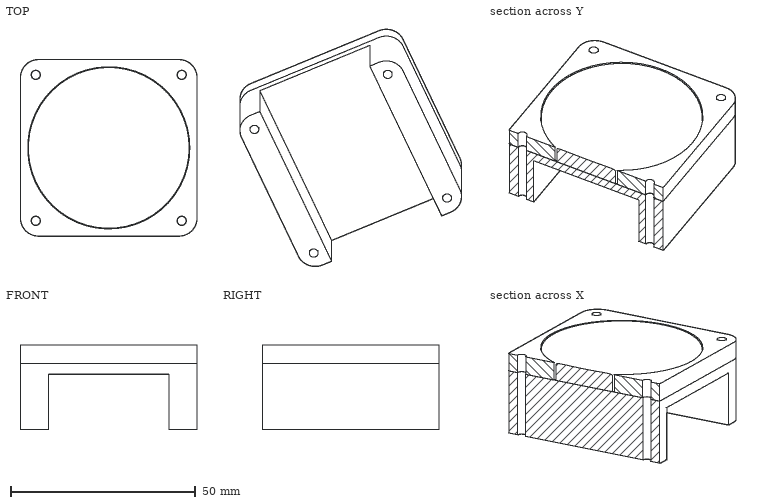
import cadquery as cq

side = 48.0
corner_radius = 5.0

leg_height = 15.0
plate_thickness = 3.0
bezel_thickness = 5.0
bezel_bottom = leg_height + plate_thickness
top = bezel_bottom + bezel_thickness

leg_width = 7.7

screw_pitch = 39.6
bezel_screw_diameter = 2.5
bracket_screw_diameter = 2.4

window_diameter = 44.0
disc_gap = 0.2
disc_diameter = window_diameter - 2 * disc_gap
disc_edge_radius = 0.5
dish_diameter = 41.3
dish_depth = 1.15


def rounded_block(bottom, height):
    """Square block with rounded vertical corners."""
    block = cq.Workplane("XY", origin=(0, 0, bottom)).rect(side, side).extrude(height)
    return block.edges("|Z").fillet(corner_radius)


def screw_holes(diameter):
    """Four full-height cylinders at the corner screw positions."""
    return (
        cq.Workplane("XY")
        .rect(screw_pitch, screw_pitch, forConstruction=True)
        .vertices()
        .circle(diameter / 2)
        .extrude(top)
    )


def make_bracket():
    """Plate standing on two side legs, with an open channel along Y."""
    plate = rounded_block(leg_height, plate_thickness)
    channel = cq.Workplane("XY").rect(side - 2 * leg_width, side).extrude(leg_height)
    legs = rounded_block(0, leg_height).cut(channel)
    bracket = plate.union(legs, clean=False)
    return bracket.cut(screw_holes(bracket_screw_diameter), clean=False)


def make_bezel():
    """Frame with a round window through it."""
    frame = rounded_block(bezel_bottom, bezel_thickness)
    window = cq.Workplane("XY", origin=(0, 0, bezel_bottom)).circle(window_diameter / 2).extrude(bezel_thickness)
    return frame.cut(window).cut(screw_holes(bezel_screw_diameter))


def make_disc():
    """Disc resting on the bracket, with a rounded edge and a shallow spherical dish on top."""
    disc = cq.Workplane("XY", origin=(0, 0, bezel_bottom)).circle(disc_diameter / 2).extrude(bezel_thickness)
    disc = disc.faces(">Z").edges().fillet(disc_edge_radius)
    sphere_radius = ((dish_diameter / 2) ** 2 + dish_depth**2) / (2 * dish_depth)
    sphere_center = top - dish_depth + sphere_radius
    sphere = cq.Workplane("XY", origin=(0, 0, sphere_center)).sphere(sphere_radius)
    return disc.cut(sphere)


bracket = make_bracket()
bezel = make_bezel()
disc = make_disc()

result = cq.Compound.makeCompound([bracket.val(), bezel.val(), disc.val()])